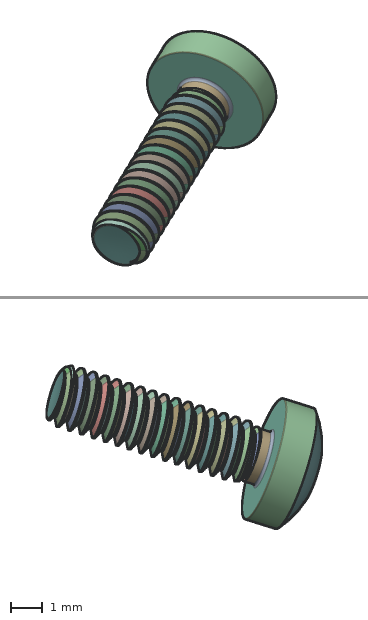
import cadquery as cq
import math

total_length = 8.6
head_diameter = 4.0
head_height = 1.6
head_rim_height = 1.03
head_flat_diameter = 1.94
head_edge_fillet = 0.03

thread_diameter = head_diameter / 2
thread_pitch = thread_diameter / 5
sharp_thread_height = thread_pitch * math.sqrt(3) / 2
thread_depth = sharp_thread_height * 17 / 24
crest_width = thread_pitch / 8
flank_slope = math.tan(math.radians(30))

neck_diameter = 1.74
neck_length = thread_pitch
neck_fillet = 0.095
runout_length = thread_pitch
tip_diameter = 1.7
tip_chamfer_length = 0.26
tip_dish_diameter = 1.58
tip_dish_depth = 0.035

groove_start_offset = 0.19
lead_in_turns = 2
cutter_clearance = 0.02

thread_radius = thread_diameter / 2
core_radius = thread_radius - thread_depth
neck_radius = neck_diameter / 2
head_top = total_length / 2
head_bottom = head_top - head_height
neck_end = head_bottom - neck_length
tip_end = -total_length / 2


def revolve_about_y(profile):
    return profile.close().revolve(360, (0, 0, 0), (0, 1, 0))


def make_head():
    """Cylindrical head with a truncated spherical dome centred on the axis."""
    head_radius = head_diameter / 2
    flat_radius = head_flat_diameter / 2
    rim_top = head_bottom + head_rim_height
    dome_height = head_top - rim_top

    radius_term = head_radius**2 - flat_radius**2 - dome_height**2
    centre_below_rim = radius_term / (2 * dome_height)
    dome_radius = math.hypot(head_radius, centre_below_rim)
    mid_radius = (head_radius + flat_radius) / 2
    mid_y = rim_top - centre_below_rim + math.sqrt(dome_radius**2 - mid_radius**2)

    head = revolve_about_y(
        cq.Workplane("XY")
        .moveTo(0, head_bottom)
        .lineTo(head_radius, head_bottom)
        .lineTo(head_radius, rim_top)
        .threePointArc((mid_radius, mid_y), (flat_radius, head_top))
        .lineTo(0, head_top)
    )
    return head.faces("<Y").edges().fillet(head_edge_fillet)


def make_neck():
    """Plain neck that flares into the head with a concave fillet."""
    fillet_end = head_bottom - neck_fillet
    return revolve_about_y(
        cq.Workplane("XY")
        .moveTo(0, neck_end)
        .lineTo(neck_radius, neck_end)
        .lineTo(neck_radius, fillet_end)
        .radiusArc((neck_radius + neck_fillet, head_bottom), neck_fillet)
        .lineTo(0, head_bottom)
    )


def make_thread_envelope():
    """Outer limit of the thread: runout cone, full cylinder, tip chamfer and dished tip."""
    dish_radius = tip_dish_diameter / 2
    dish_sphere_radius = (dish_radius**2 + tip_dish_depth**2) / (2 * tip_dish_depth)
    return revolve_about_y(
        cq.Workplane("XY")
        .moveTo(0, neck_end)
        .lineTo(neck_radius, neck_end)
        .lineTo(thread_radius, neck_end - runout_length)
        .lineTo(thread_radius, tip_end + tip_chamfer_length)
        .lineTo(tip_diameter / 2, tip_end)
        .lineTo(dish_radius, tip_end)
        .radiusArc((0, tip_end + tip_dish_depth), -dish_sphere_radius)
    )


def make_groove_turn():
    """One right-hand turn of the groove, starting on the +X side and running toward -Y."""
    outer_radius = thread_radius + cutter_clearance
    root_half = thread_pitch / 2 - crest_width / 2 - thread_depth * flank_slope
    outer_half = root_half + (outer_radius - core_radius) * flank_slope

    helix = cq.Wire.makeHelix(thread_pitch, thread_pitch, core_radius)
    return (
        cq.Workplane("XZ")
        .polyline([
            (core_radius, -root_half),
            (outer_radius, -outer_half),
            (outer_radius, outer_half),
            (core_radius, root_half),
        ])
        .close()
        .sweep(cq.Workplane(obj=helix), isFrenet=True)
        .rotate((0, 0, 0), (1, 0, 0), 90)
    )


def make_thread():
    """Thread envelope with the groove cut turn by turn along its full length."""
    thread = make_thread_envelope()
    groove_turn = make_groove_turn()
    groove_start = neck_end - groove_start_offset + lead_in_turns * thread_pitch
    turn_count = math.ceil((groove_start - tip_end) / thread_pitch) + 1
    for turn in range(turn_count):
        thread = thread.cut(groove_turn.translate((0, groove_start - turn * thread_pitch, 0)))
    return thread


result = make_head().union(make_neck()).union(make_thread())